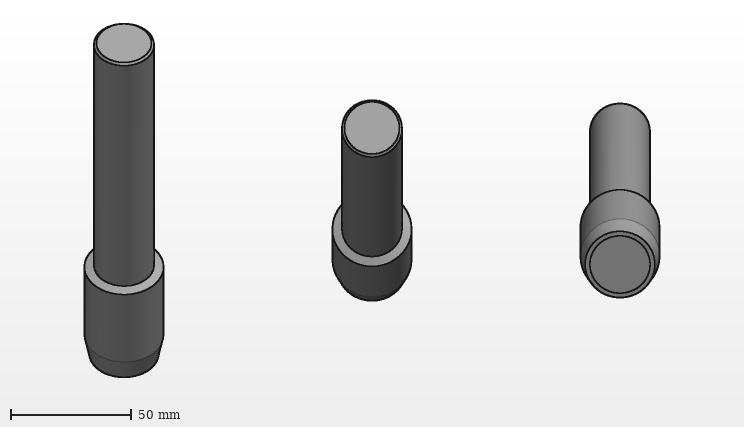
import cadquery as cq

total_length = 180.0
rod_diameter = 25.0
sleeve_diameter = 33.0

tip_chamfer_radial = 1.0
tip_chamfer_height = 0.9

sleeve_bottom_diameter = 29.0
taper_height = 11.0
shoulder_edge_height = 50.0
shoulder_rise = 1.0

rod_radius = rod_diameter / 2
sleeve_radius = sleeve_diameter / 2
sleeve_bottom_radius = sleeve_bottom_diameter / 2
sleeve_height = shoulder_edge_height + shoulder_rise


def revolve_about_z(outline):
    """Turn a closed (radius, height) outline around the Z axis."""
    return cq.Workplane("XZ").polyline(outline).close().revolve(360, (0, 0), (0, 1))


def make_rod():
    """Straight rod through the sleeve, chamfered at its free upper end."""
    return revolve_about_z([
        (0, 0),
        (rod_radius, 0),
        (rod_radius, total_length - tip_chamfer_height),
        (rod_radius - tip_chamfer_radial, total_length),
        (0, total_length),
    ])


def make_sleeve():
    """Sleeve around the lower end of the rod, bored to fit it."""
    return revolve_about_z([
        (rod_radius, 0),
        (sleeve_bottom_radius, 0),
        (sleeve_radius, taper_height),
        (sleeve_radius, shoulder_edge_height),
        (rod_radius, sleeve_height),
    ])


rod = make_rod()
sleeve = make_sleeve()

result = cq.Compound.makeCompound([rod.val(), sleeve.val()])